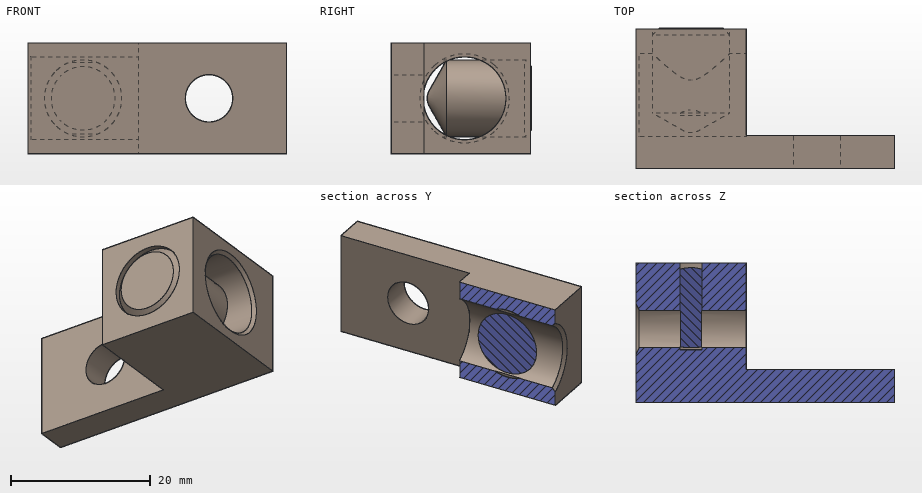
import cadquery as cq

length = 37.1
block_width = 15.85
height = 15.9
block_depth = 20.0
tongue_thickness = 4.75
mount_hole_diameter = 6.75
mount_hole_x = 25.97

bore_diameter = 11.85
bore_chamfer = 0.5
bore_y = 10.55

screw_diameter = 11.05
screw_end_diameter = 9.13
screw_protrusion = 0.1
screw_tip_diameter = 2.0
screw_dome_height = 0.22
screw_tip_y = 5.15
screw_cone_y = 7.95
screw_hole_run_out = 0.37

mid_z = height / 2
screw_x = block_width / 2
screw_radius = screw_diameter / 2
screw_end_radius = screw_end_diameter / 2
screw_end_y = block_depth + screw_protrusion
screw_chamfer = screw_radius - screw_end_radius


def y_cylinder(diameter, x, start_y, end_y):
    """Cylinder parallel to Y at mid height."""
    return cq.Workplane(cq.Solid.makeCylinder(
        diameter / 2, end_y - start_y, cq.Vector(x, start_y, mid_z), cq.Vector(0, 1, 0)))


def make_bore_cutter():
    """Through bore with a 45 degree lead-in at the cable entry."""
    bore_radius = bore_diameter / 2
    axis_start = cq.Vector(0, bore_y, mid_z)
    axis_direction = cq.Vector(1, 0, 0)
    bore = cq.Workplane(cq.Solid.makeCylinder(bore_radius, block_width, axis_start, axis_direction))
    lead_in = cq.Solid.makeCone(
        bore_radius + bore_chamfer, bore_radius, bore_chamfer, axis_start, axis_direction)
    return bore.union(cq.Workplane(lead_in))


def make_lug():
    block = cq.Workplane("XY").box(block_width, block_depth, height, centered=False)
    tongue = cq.Workplane("XY").box(length, tongue_thickness, height, centered=False)
    mount_hole = y_cylinder(mount_hole_diameter, mount_hole_x, 0, tongue_thickness)
    screw_hole = y_cylinder(screw_diameter, screw_x, screw_cone_y - screw_hole_run_out, block_depth)
    return block.union(tongue).cut(mount_hole).cut(make_bore_cutter()).cut(screw_hole)


def make_screw():
    """Revolved screw with a domed cone point and a chamfered outer end."""
    tip_radius = screw_tip_diameter / 2
    dome_radius = (tip_radius**2 + screw_dome_height**2) / (2 * screw_dome_height)
    profile = (
        cq.Workplane("XY")
        .moveTo(0, screw_tip_y)
        .radiusArc((tip_radius, screw_tip_y + screw_dome_height), -dome_radius)
        .lineTo(screw_radius, screw_cone_y)
        .lineTo(screw_radius, screw_end_y - screw_chamfer)
        .lineTo(screw_end_radius, screw_end_y)
        .lineTo(0, screw_end_y)
        .close()
    )
    turned = profile.revolve(360, (0, 0), (0, 1))
    return turned.translate((screw_x, 0, mid_z))


lug = make_lug()
screw = make_screw()
result = cq.Compound.makeCompound([lug.solids().val(), screw.val()])